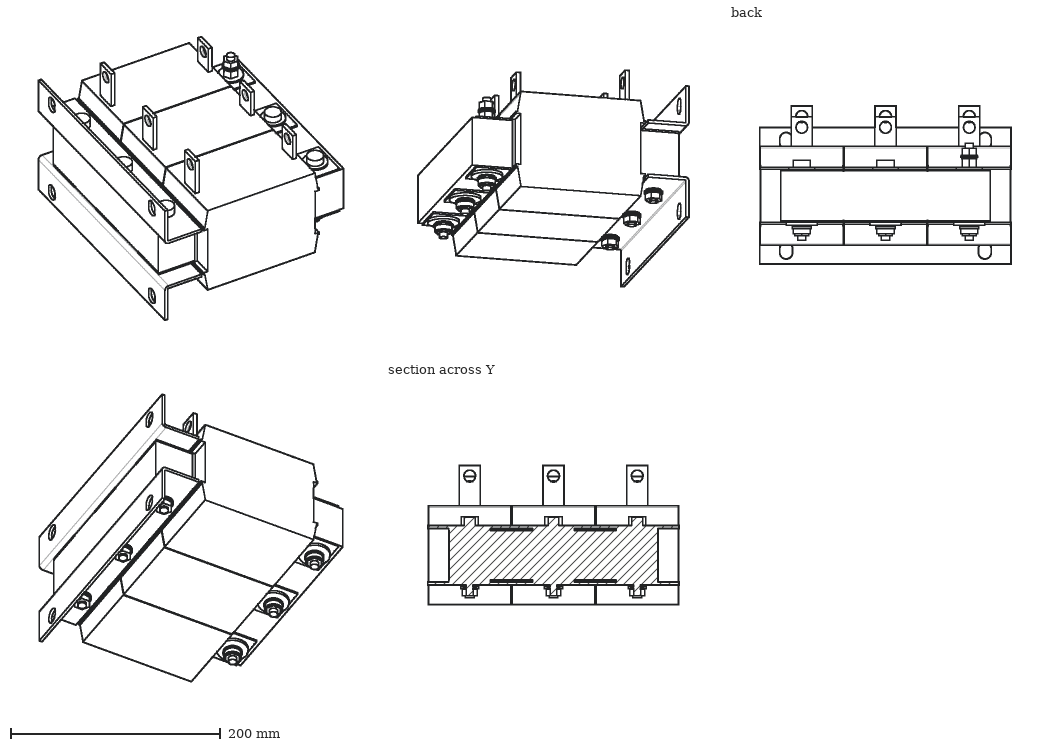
import cadquery as cq
import math

width = 240.0
mid_y = 106.8
mid_z = 65.3
phase_pitch = 80.0
phase_x = [-phase_pitch, 0, phase_pitch]

core_width = 199.7
core_depth = 204.5
core_height = 47.5

coil_gap = 1.0
coil_width = phase_pitch - coil_gap
coil_depth = 118.8
coil_height = 94.8
flare_reach = 3.0
lip_reach = 4.3
lip_thickness = 2.2
rim_height = 1.7

tab_width = 40.0
tab_thickness = 1.7
front_tab_inset = 0.5
rear_tab_inset = 4.5
lining_thickness = 3.0
tab_level = core_height / 2 + tab_thickness
lip_step = 0.2
lip_level = tab_level - lip_step

sheet = 3.0
bend_radius = 4.0
bracket_depth = 40.3
bracket_half_height = mid_z
slot_length = 15.8
slot_width = 12.0
slot_spacing = 189.5
slot_edge_distance = 13.0

terminal_width = 20.2
terminal_thickness = 4.0
terminal_spacing = 107.5
front_terminal_top = 151.0
rear_terminal_top = 140.6
terminal_hole = 11.0
terminal_hole_drop = 10.0

bolt_spacing = 164.6
front_bolt_y = mid_y - bolt_spacing / 2
rear_bolt_y = mid_y + bolt_spacing / 2
head_diameter = 16.3
bolt_diameter = 8.5
stud_diameter = 8.0
stud_nut_corners = 15.0
washer_diameter = 16.5
collar_diameter = 14.0

front_head = [("round", head_diameter, 8.2)]
front_nut_side = [
    ("round", collar_diameter, 1.7),
    ("round", 17.5, 1.7),
    ("round", collar_diameter, 0.7),
    ("hex", head_diameter, 6.0),
    ("round", bolt_diameter, 2.0),
]
rear_washer = [("round", 24.5, 1.7)]
rear_head = rear_washer + [("round", head_diameter, 6.7)]
earthing_stud = rear_washer + [
    ("hex", stud_nut_corners, 8.2),
    ("round", collar_diameter, 1.5),
    ("round", washer_diameter, 1.0),
    ("round", stud_nut_corners, 1.0),
    ("hex", stud_nut_corners, 6.7),
    ("round", stud_diameter, 4.5),
]
rear_underside = [
    ("round", 30.0, 2.6),
    ("round", stud_nut_corners, 1.7),
    ("round", 18.2, 2.0),
    ("round", washer_diameter, 4.5),
    ("hex", stud_nut_corners, 1.7),
    ("round", stud_diameter, 4.5),
]


def box_between(x_size, y_from, y_to, z_from, z_to, x_mid=0):
    """Box centred on x_mid that spans the given y and z ranges."""
    return (
        cq.Workplane("XY")
        .box(x_size, y_to - y_from, z_to - z_from, centered=(True, False, False))
        .translate((x_mid, y_from, z_from))
    )


def stack(x, y, z, direction, layers):
    """Pile round and hexagonal layers from z upward (direction 1) or downward (-1).

    Each layer is (shape, diameter, thickness); hexagons have corners facing +Y and -Y.
    """
    pile = cq.Workplane("XY")
    for shape, diameter, thickness in layers:
        base = cq.Workplane("XY", origin=(x, y, z))
        if shape == "hex":
            corners = [
                (diameter / 2 * math.sin(i * math.pi / 3), diameter / 2 * math.cos(i * math.pi / 3))
                for i in range(6)
            ]
            outline = base.polyline(corners).close()
        else:
            outline = base.circle(diameter / 2)
        pile = pile.add(outline.extrude(direction * thickness))
        z += direction * thickness
    return pile.combine()


def make_core():
    return cq.Workplane("XY").box(core_width, core_depth, core_height).translate((0, mid_y, mid_z))


def make_coil(x):
    """Coil block whose four flanges lean outward and end in a thin lip beside the core."""
    half_depth = coil_depth / 2
    half_height = coil_height / 2
    quarter = [
        (half_depth, half_height),
        (half_depth, half_height - rim_height),
        (half_depth + flare_reach, lip_level + lip_thickness),
        (half_depth + lip_reach, lip_level + lip_thickness),
        (half_depth + lip_reach, lip_level),
        (half_depth, lip_level),
    ]
    right_half = quarter + [(y, -z) for y, z in reversed(quarter)]
    outline = right_half + [(-y, -z) for y, z in right_half]
    return (
        cq.Workplane("YZ")
        .polyline(outline)
        .close()
        .extrude(coil_width / 2, both=True)
        .translate((x, mid_y, mid_z))
    )


def make_insulation(x):
    """Strip along both core faces under one coil, open at each end where the core yoke sits.

    The tabs nearly reach the front core face and stop further short of the rear one.
    """
    length = core_depth - front_tab_inset - rear_tab_inset
    lined_depth = coil_depth + 2 * lining_thickness
    lining = cq.Workplane("XY").box(tab_width, lined_depth, 2 * tab_level)
    tabs = cq.Workplane("XY").box(tab_width, length, 2 * tab_level)
    tabs = tabs.cut(cq.Workplane("XY").box(tab_width, length, core_height))
    tabs = tabs.translate((0, (front_tab_inset - rear_tab_inset) / 2, 0))
    return lining.union(tabs).translate((x, mid_y, mid_z))


def make_bracket():
    """Upper angle bracket with its bend at the front and two upright slots."""
    inner_level = mid_z + tab_level
    top = mid_z + bracket_half_height
    angle = box_between(width, 0, bracket_depth, inner_level, top)
    angle = angle.edges("|X and <Y and <Z").fillet(bend_radius)
    hollow = box_between(width, sheet, bracket_depth, inner_level + sheet, top)
    hollow = hollow.edges("|X and <Y and <Z").fillet(bend_radius - sheet)
    slot_level = top - slot_edge_distance
    slots = (
        cq.Workplane("XZ")
        .pushPoints([(-slot_spacing / 2, slot_level), (slot_spacing / 2, slot_level)])
        .slot2D(slot_length, slot_width, 90)
        .extrude(-sheet)
    )
    return angle.cut(hollow).cut(slots)


def make_terminal(x, y, top):
    plate = box_between(
        terminal_width, y - terminal_thickness / 2, y + terminal_thickness / 2, mid_z, top, x
    )
    hole = (
        cq.Workplane("XZ", origin=(x, y, top - terminal_hole_drop))
        .circle(terminal_hole / 2)
        .extrude(terminal_thickness, both=True)
    )
    return plate, hole


def make_front_bolt(x):
    """Bolt that clamps both brackets: head above, toothed washer and nut below."""
    level = tab_level + sheet
    head = stack(x, front_bolt_y, mid_z + level, 1, front_head)
    return head.union(stack(x, front_bolt_y, mid_z - level, -1, front_nut_side))


def make_rear_bolt(x, upper_layers):
    """Rear fastener: the given layers above, washers and bolt end below."""
    above = stack(x, rear_bolt_y, mid_z + tab_level, 1, upper_layers)
    return above.union(stack(x, rear_bolt_y, mid_z - tab_level, -1, rear_underside))


result = make_core()
for x in phase_x:
    result = result.union(make_coil(x)).union(make_insulation(x))
    for side, top in ((-1, front_terminal_top), (1, rear_terminal_top)):
        plate, hole = make_terminal(x, mid_y + side * terminal_spacing / 2, top)
        result = result.union(plate).cut(hole)

upper_bracket = make_bracket()
lower_bracket = upper_bracket.mirror("XY", (0, 0, mid_z))
result = result.union(upper_bracket).union(lower_bracket)

for x in phase_x:
    upper_layers = earthing_stud if x == phase_x[0] else rear_head
    result = result.union(make_front_bolt(x)).union(make_rear_bolt(x, upper_layers))